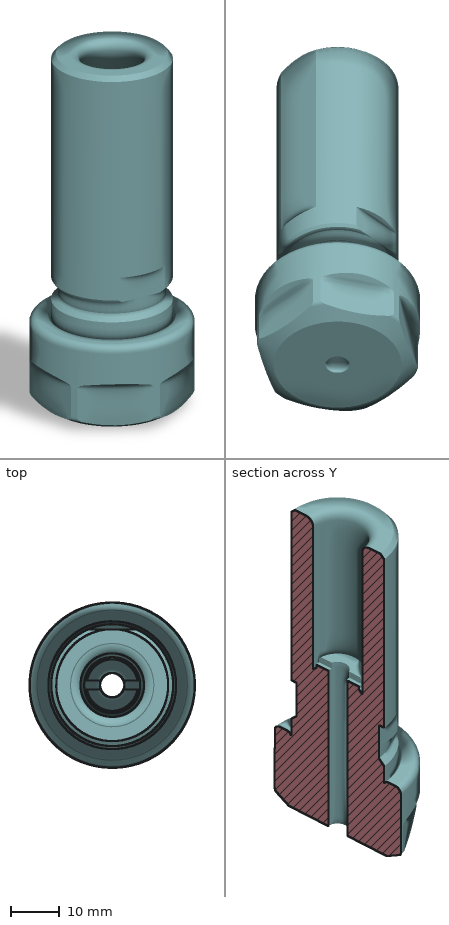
import cadquery as cq
import math

total_height = 77.5

nut_diameter = 33.9
nut_radius = nut_diameter / 2
nut_height = 19.4
nut_top_fillet = 1.55
nut_base_radius = 13.1
nut_corner_fillet = 1.0
nut_chamfer_angle = math.radians(30)
nut_mouth_chamfer = 0.6

hex_flat_distance = 15.0
flat_root_fillet = 1.0
flat_shoulder_angle = math.radians(30)
high_shoulder = 11.1
low_shoulder = 10.2
high_flats = (-90, -30, 30)
low_flats = (90, 150, 210)

shank_radius = 12.5
neck_radius = 11.1
collar_top = 22.95
neck_start = collar_top + (shank_radius - neck_radius)

shank_bottom = 27.2
shank_bottom_chamfer_width = 0.5
shank_bottom_chamfer_height = 0.6
shank_top_chamfer = 1.0
wrench_flat_distance = neck_radius
wrench_flat_top = 32.85
clamp_flat_distance = 11.4
clamp_flat_bottom = 32.6
clamp_flat_runout = 0.5

bore_radius = 6.5
bore_lip_radius = 2.0
screw_shoulder = 38.75
screw_head_radius = 5.7
screw_head_height = 2.3
screw_rim_chamfer = 0.5
slot_width = 1.85
slot_depth = 1.55
coolant_hole_radius = 2.5

cut_margin = 7.75


def make_nut():
    """Solid nut with a chamfered mouth, a rounded top rim and six wrench flats."""
    chamfer_height = (nut_radius - nut_base_radius) * math.tan(nut_chamfer_angle)
    blank = (
        cq.Workplane("XZ")
        .moveTo(0, 0)
        .lineTo(nut_base_radius, 0)
        .lineTo(nut_radius, chamfer_height)
        .lineTo(nut_radius, nut_height - nut_top_fillet)
        .radiusArc((nut_radius - nut_top_fillet, nut_height), -nut_top_fillet)
        .lineTo(shank_radius + nut_mouth_chamfer, nut_height)
        .lineTo(shank_radius, nut_height - nut_mouth_chamfer)
        .lineTo(0, nut_height - nut_mouth_chamfer)
        .close()
        .revolve(360, (0, 0, 0), (0, 1, 0))
    )
    chamfer_edge = cq.selectors.NearestToPointSelector((0, 0, chamfer_height))
    nut = blank.edges(chamfer_edge).fillet(nut_corner_fillet)
    for direction in high_flats:
        nut = nut.cut(make_flat_cutter(direction, high_shoulder))
    for direction in low_flats:
        nut = nut.cut(make_flat_cutter(direction, low_shoulder))
    return nut


def make_flat_cutter(direction, shoulder_height):
    """Cutter for one flat, with a sloping shoulder and a rounded root."""
    slope = math.tan(flat_shoulder_angle)
    outer = nut_radius + cut_margin
    root_height = shoulder_height - (nut_radius - hex_flat_distance) * slope
    outer_height = shoulder_height + cut_margin * slope
    cutter = (
        cq.Workplane("XZ")
        .moveTo(hex_flat_distance, -cut_margin)
        .lineTo(outer, -cut_margin)
        .lineTo(outer, outer_height)
        .lineTo(hex_flat_distance, root_height)
        .close()
        .extrude(nut_radius, both=True)
    )
    cutter = cutter.edges("|Y").edges("<X").edges(">Z").fillet(flat_root_fillet)
    return cutter.rotate((0, 0, 0), (0, 0, 1), direction)


def make_shank():
    """Collar, neck and long cylinder above the nut; the core inside the nut joins them."""
    shank = (
        cq.Workplane("XZ")
        .moveTo(0, nut_height / 2)
        .lineTo(shank_radius, nut_height / 2)
        .lineTo(shank_radius, collar_top)
        .lineTo(neck_radius, neck_start)
        .lineTo(neck_radius, shank_bottom)
        .lineTo(shank_radius - shank_bottom_chamfer_width, shank_bottom)
        .lineTo(shank_radius, shank_bottom + shank_bottom_chamfer_height)
        .lineTo(shank_radius, total_height - shank_top_chamfer)
        .lineTo(shank_radius - shank_top_chamfer, total_height)
        .lineTo(0, total_height)
        .close()
        .revolve(360, (0, 0, 0), (0, 1, 0))
    )
    return shank.cut(make_wrench_flats()).cut(make_clamp_flat())


def make_wrench_flats():
    """Cutters for the two short parallel flats on the -X and +X sides."""
    cutters = cq.Workplane("XY")
    for side in (-1, 1):
        cutters = cutters.union(
            cq.Workplane("XY", origin=(0, 0, shank_bottom))
            .center(side * (wrench_flat_distance + cut_margin / 2), 0)
            .rect(cut_margin, 2 * shank_radius)
            .extrude(wrench_flat_top - shank_bottom)
        )
    return cutters


def make_clamp_flat():
    """Cutter for the long flat on the +Y side, with a sloping run-out."""
    return (
        cq.Workplane("YZ")
        .moveTo(shank_radius, clamp_flat_bottom)
        .lineTo(clamp_flat_distance, clamp_flat_bottom + clamp_flat_runout)
        .lineTo(clamp_flat_distance, total_height)
        .lineTo(shank_radius, total_height)
        .close()
        .extrude(shank_radius, both=True)
    )


def make_bore():
    """Bore above the stop screw, the slot in its head and the hole through the whole part."""
    head_base = screw_shoulder + (bore_radius - screw_head_radius)
    head_top = head_base + screw_head_height
    bore = (
        cq.Workplane("XZ")
        .moveTo(0, head_top)
        .lineTo(screw_head_radius - screw_rim_chamfer, head_top)
        .lineTo(screw_head_radius, head_top - screw_rim_chamfer)
        .lineTo(screw_head_radius, head_base)
        .lineTo(bore_radius, screw_shoulder)
        .lineTo(bore_radius, total_height - bore_lip_radius)
        .radiusArc((bore_radius + bore_lip_radius, total_height), bore_lip_radius)
        .lineTo(0, total_height)
        .close()
        .revolve(360, (0, 0, 0), (0, 1, 0))
    )
    slot = (
        cq.Workplane("XY", origin=(0, 0, head_top - slot_depth))
        .rect(2 * screw_head_radius, slot_width)
        .extrude(slot_depth)
    )
    coolant_hole = cq.Workplane("XY").circle(coolant_hole_radius).extrude(head_top)
    return bore.union(slot).union(coolant_hole)


result = make_nut().union(make_shank()).cut(make_bore())